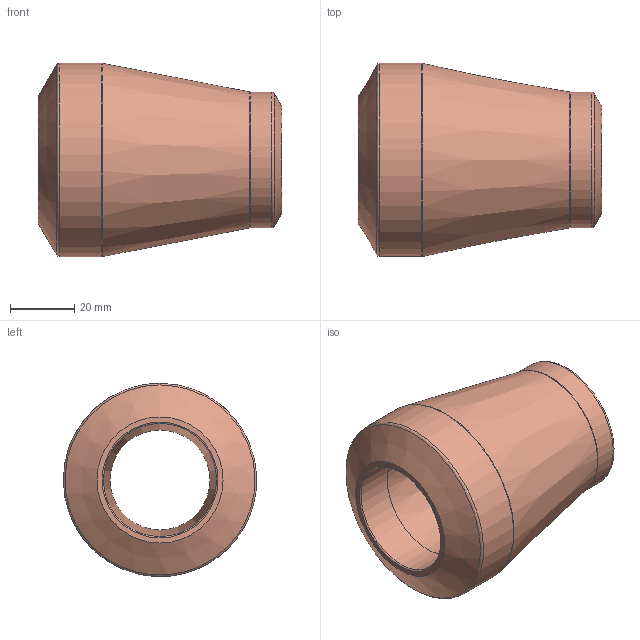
import cadquery as cq
import math

LENGTH = 76.0
LARGE_OUTER_RADIUS = 60.3 / 2
SMALL_OUTER_RADIUS = 42.4 / 2
LARGE_BORE_RADIUS = 35.3 / 2
SMALL_BORE_RADIUS = 31.2 / 2

LARGE_COLLAR_END = 20.0
SMALL_COLLAR_START = LENGTH - 10.0
LARGE_BORE_DEPTH = 12.0

BEVEL_ANGLE = math.radians(30)
LARGE_LAND_WIDTH = 2.0
SMALL_LAND_WIDTH = 1.0

EDGE_FILLET = 1.0
MOUTH_FILLET = 0.4

large_land_radius = LARGE_BORE_RADIUS + LARGE_LAND_WIDTH
small_land_radius = SMALL_BORE_RADIUS + SMALL_LAND_WIDTH
large_bevel_end = (LARGE_OUTER_RADIUS - large_land_radius) * math.tan(BEVEL_ANGLE)
small_bevel_start = LENGTH - (SMALL_OUTER_RADIUS - small_land_radius) * math.tan(BEVEL_ANGLE)


def make_body():
    """Revolve the half section (X, radius) about the X axis."""
    outer_wall = [
        (0, large_land_radius),
        (large_bevel_end, LARGE_OUTER_RADIUS),
        (LARGE_COLLAR_END, LARGE_OUTER_RADIUS),
        (SMALL_COLLAR_START, SMALL_OUTER_RADIUS),
        (small_bevel_start, SMALL_OUTER_RADIUS),
        (LENGTH, small_land_radius),
    ]
    inner_wall = [
        (LENGTH, SMALL_BORE_RADIUS),
        (SMALL_COLLAR_START, SMALL_BORE_RADIUS),
        (LARGE_BORE_DEPTH, LARGE_BORE_RADIUS),
        (0, LARGE_BORE_RADIUS),
    ]
    section = cq.Workplane("XZ").polyline(outer_wall + inner_wall).close()
    return section.revolve(360, (0, 0, 0), (1, 0, 0))


def fillet_ring(body, x, ring_radius, fillet_radius):
    """Round the circular edge of the given radius that lies at the given X."""
    tolerance = 0.01
    ring_edges = body.edges("%CIRCLE").filter(
        lambda edge: abs(edge.Center().x - x) < tolerance
        and abs(edge.radius() - ring_radius) < tolerance
    )
    return ring_edges.fillet(fillet_radius)


outer_corners = [
    (large_bevel_end, LARGE_OUTER_RADIUS),
    (LARGE_COLLAR_END, LARGE_OUTER_RADIUS),
    (SMALL_COLLAR_START, SMALL_OUTER_RADIUS),
    (small_bevel_start, SMALL_OUTER_RADIUS),
]

result = make_body()
for corner_x, corner_radius in outer_corners:
    result = fillet_ring(result, corner_x, corner_radius, EDGE_FILLET)
result = fillet_ring(result, 0, LARGE_BORE_RADIUS, MOUTH_FILLET)